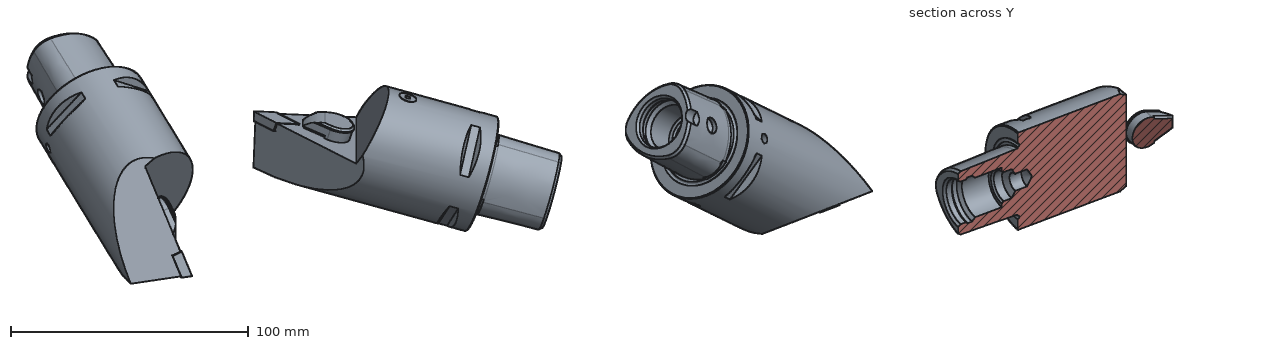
import cadquery as cq
import math

shank_length = 30.0
nose_reach = 100.0
body_radius = 25.0
flange_chamfer = 0.4

lobe_centre_distance = 8.95
lobe_radius = 9.65
neck_length = 2.0
neck_radius = 17.7
shank_taper = 1 / 40
shank_chamfer = 1.3
shank_chamfer_height = 1.0
ring_groove_radius = 18.45
ring_groove_section = 0.85

bore_mouth_radius = 11.7
bore_mouth_chamfer = 1.3
bore_entry_radius = 10.8
bore_radius = 10.0
bore_entry_depth = 4.0
bore_groove_radius = 11.6
bore_groove_depth = 7.0
bore_depth = 22.0
pilot_mouth_radius = 8.2
pilot_radius = 7.3
pilot_depth = 5.0
core_radius = 4.25
core_depth = 6.0
drill_half_angle = math.radians(60)

key_groove_radius = 3.5
key_groove_axis = 17.0
key_groove_length = 5.8
shank_hole_radius = 3.45
shank_hole_x = -14.0
shank_hole_floor = 14.0
flange_hole_radius = 2.1
flange_hole_x = 12.0
flange_hole_floor = 22.0

slot_x = 9.9
slot_floor_width = 3.8
slot_floor_distance = 22.2
slot_flank_angle = math.radians(30)

head_half_angle = math.radians(27.7)
flank_angle = math.radians(7)
head_reach = 99.3
rake_level = -0.4
back_wall_x = 55.0
back_wall_angle = math.radians(14.5)
margin = 10.0

insert_half_angle = math.radians(27.5)
insert_edge = 11.6
insert_thickness = 4.3
insert_nose_radius = 0.4

clamp_radius = 7.5
clamp_back_x = 57.8
clamp_tip_x = 78.9
clamp_side_angle = math.radians(20)
clamp_relief = 1.2
clamp_relief_start_x = 69.0
clamp_height = 6.0
clamp_tip_height = 0.6
clamp_flat_end_x = 70.7
clamp_slope_bulge = 0.9
clamp_lip_height = 4.5
clamp_lip = 0.4
clamp_lip_chamfer = 0.9

plug_x = 40.0
plug_radius = 3.75
plug_length = 8.0
plug_hole_radius = 1.15


def drill(radius, depth, origin, direction):
    """Cylinder with a conical end; depth is measured to the full-diameter end."""
    tip = radius / math.tan(drill_half_angle)
    shaft = cq.Solid.makeCylinder(radius, depth, cq.Vector(*origin), cq.Vector(*direction))
    tip_start = cq.Vector(*origin) + cq.Vector(*direction) * depth
    cone = cq.Solid.makeCone(radius, 0, tip, tip_start, cq.Vector(*direction))
    return cq.Workplane(obj=shaft).union(cq.Workplane(obj=cone))


def lobed_wire(x, radius):
    """Three lobe arcs of this radius joined by tangent flank arcs, one lobe toward +Y."""
    flank_radius = radius + math.sqrt(3) * lobe_centre_distance
    lobe_half_angle = 30

    def point(centre_angle, arc_radius, arc_angle):
        centre = math.radians(centre_angle)
        direction = math.radians(arc_angle)
        y = lobe_centre_distance * math.cos(centre) + arc_radius * math.cos(direction)
        z = lobe_centre_distance * math.sin(centre) + arc_radius * math.sin(direction)
        return (y, z)

    outline = cq.Workplane("YZ", origin=(x, 0, 0)).moveTo(*point(0, radius, -lobe_half_angle))
    for lobe_angle in (0, 120, 240):
        lobe_end = lobe_angle + lobe_half_angle
        flank_middle = lobe_angle + 60
        next_lobe = lobe_angle + 120
        outline = outline.threePointArc(
            point(lobe_angle, radius, lobe_angle),
            point(lobe_angle, radius, lobe_end),
        )
        outline = outline.threePointArc(
            point(lobe_angle - 120, flank_radius, flank_middle),
            point(next_lobe, radius, next_lobe - lobe_half_angle),
        )
    return outline.close().val()


def lobed_section(x_start, radius_start, x_end, radius_end):
    wires = [lobed_wire(x_start, radius_start), lobed_wire(x_end, radius_end)]
    return cq.Workplane(obj=cq.Solid.makeLoft(wires, True))


def make_shank():
    taper_length = shank_length - shank_chamfer - neck_length
    small_radius = lobe_radius - taper_length * shank_taper
    chamfer_x = -shank_length + shank_chamfer
    nose = lobed_section(-shank_length, small_radius - shank_chamfer_height, chamfer_x, small_radius)
    taper = lobed_section(chamfer_x, small_radius, -neck_length, lobe_radius)
    overlap = 1.0
    neck = lobed_section(-neck_length, lobe_radius, overlap, lobe_radius)
    neck_round = cq.Workplane("YZ", origin=(-neck_length, 0, 0)).circle(neck_radius)
    neck = neck.intersect(neck_round.extrude(neck_length + overlap))
    return nose.union(taper).union(neck)


def make_bore():
    """Stepped bore revolved about X, closed by a conical drill end."""
    groove_start = bore_entry_depth + bore_groove_radius - bore_entry_radius
    groove_end = bore_groove_depth + bore_groove_radius - bore_radius
    pilot_chamfer = pilot_mouth_radius - pilot_radius
    pilot_end = bore_depth + pilot_depth
    core_start = pilot_end + (pilot_radius - core_radius) / math.tan(drill_half_angle)
    core_end = core_start + core_depth
    profile = [
        (0, 0),
        (0, bore_mouth_radius),
        (bore_mouth_chamfer, bore_entry_radius),
        (bore_entry_depth, bore_entry_radius),
        (groove_start, bore_groove_radius),
        (bore_groove_depth, bore_groove_radius),
        (groove_end, bore_radius),
        (bore_depth, bore_radius),
        (bore_depth, pilot_mouth_radius),
        (bore_depth + pilot_chamfer, pilot_radius),
        (pilot_end, pilot_radius),
        (core_start, core_radius),
        (core_end, core_radius),
        (core_end + core_radius / math.tan(drill_half_angle), 0),
    ]
    outline = cq.Workplane("XY", origin=(-shank_length, 0, 0)).polyline(profile).close()
    return outline.revolve(360, (0, 0, 0), (1, 0, 0))


def make_ring_groove():
    section = cq.Workplane("XY").moveTo(0, ring_groove_radius - ring_groove_section)
    section = section.threePointArc(
        (ring_groove_section, ring_groove_radius),
        (0, ring_groove_radius + ring_groove_section),
    )
    return section.close().revolve(360, (0, 0, 0), (1, 0, 0))


def make_gripper_slot(angle):
    """Flared slot across the body, its floor facing away from the axis at this angle."""
    depth = body_radius + margin - slot_floor_distance
    half_floor = slot_floor_width / 2
    half_top = half_floor + depth * math.tan(slot_flank_angle)
    section = [
        (slot_x - half_floor, slot_floor_distance),
        (slot_x + half_floor, slot_floor_distance),
        (slot_x + half_top, slot_floor_distance + depth),
        (slot_x - half_top, slot_floor_distance + depth),
    ]
    slot = cq.Workplane("XY").polyline(section).close().extrude(body_radius, both=True)
    return slot.rotate((0, 0, 0), (1, 0, 0), angle)


def wedge_wire(apex_x, y, back_x):
    """Triangle in the plane at y, pointing toward +X and symmetric about Z = 0."""
    half_width = (apex_x - back_x) * math.tan(head_half_angle)
    points = [
        cq.Vector(apex_x, y, 0),
        cq.Vector(back_x, y, half_width),
        cq.Vector(back_x, y, -half_width),
    ]
    return cq.Wire.makePolygon(points, close=True)


def make_point_envelope():
    """Wedge whose flanks lean back by the flank angle toward -Y."""
    half_height = body_radius + margin
    apex_shift = half_height * math.tan(flank_angle) / math.sin(head_half_angle)
    lower = wedge_wire(head_reach - apex_shift, -half_height, -shank_length - apex_shift)
    upper = wedge_wire(head_reach + apex_shift, half_height, -shank_length + apex_shift)
    return cq.Workplane(obj=cq.Solid.makeLoft([lower, upper], True))


def make_rake_cut():
    height = body_radius + margin
    run = height * math.tan(back_wall_angle)
    section = [
        (back_wall_x, rake_level),
        (nose_reach + margin, rake_level),
        (nose_reach + margin, rake_level + height),
        (back_wall_x - run, rake_level + height),
    ]
    return cq.Workplane("XY").polyline(section).close().extrude(height, both=True)


def rhombus_wire(apex_x, y, inset):
    """Insert outline in the plane at y, with every side moved inward by the inset."""
    half_length = insert_edge * math.cos(insert_half_angle)
    half_width = insert_edge * math.sin(insert_half_angle)
    centre_x = apex_x - half_length
    reach = half_length - inset / math.sin(insert_half_angle)
    spread = half_width - inset / math.cos(insert_half_angle)
    points = [
        cq.Vector(centre_x + reach, y, 0),
        cq.Vector(centre_x, y, spread),
        cq.Vector(centre_x - reach, y, 0),
        cq.Vector(centre_x, y, -spread),
    ]
    return cq.Wire.makePolygon(points, close=True)


def make_insert():
    """Rhombic insert with clearance flanks and a rounded cutting nose."""
    apex_x = nose_reach + insert_nose_radius * (1 / math.sin(insert_half_angle) - 1)
    inset = insert_thickness * math.tan(flank_angle)
    wires = [rhombus_wire(apex_x, -insert_thickness, inset), rhombus_wire(apex_x, 0, 0)]
    block = cq.Workplane(obj=cq.Solid.makeLoft(wires, True))
    nose_edge = cq.selectors.NearestToPointSelector((apex_x, -insert_thickness / 2, 0))
    return block.edges(nose_edge).fillet(insert_nose_radius)


def clamp_plan(level, grow):
    """Round clamp back running into a narrow tip; grow widens the outline all round."""
    radius = clamp_radius + grow
    centre_x = clamp_back_x + clamp_radius
    tangent_x = centre_x + radius * math.sin(clamp_side_angle)
    tangent_z = radius * math.cos(clamp_side_angle)
    tip_half_width = tangent_z - (clamp_tip_x - tangent_x) * math.tan(clamp_side_angle)
    plan = cq.Workplane("XZ", origin=(0, level, 0)).moveTo(tangent_x, tangent_z)
    plan = plan.threePointArc((centre_x - radius, 0), (tangent_x, -tangent_z))
    return plan.lineTo(clamp_tip_x, -tip_half_width).lineTo(clamp_tip_x, tip_half_width).close()


def make_clamp():
    stem = clamp_plan(rake_level, 0).extrude(rake_level - clamp_lip_height)
    relieved = stem.faces("<Y").edges().chamfer(clamp_relief)
    front = cq.Workplane("YZ", origin=(clamp_relief_start_x, 0, 0))
    front = front.rect(2 * body_radius, 2 * body_radius).extrude(body_radius)
    stem = stem.cut(front).union(relieved.intersect(front))
    shoulder_height = clamp_height - clamp_lip_chamfer
    lip = clamp_plan(clamp_lip_height, clamp_lip).extrude(clamp_lip_height - shoulder_height)
    crown = clamp_plan(shoulder_height, clamp_lip).extrude(-clamp_lip_chamfer, taper=45)
    middle_x = (clamp_flat_end_x + clamp_tip_x) / 2 + clamp_slope_bulge / 2
    middle_y = (clamp_height + clamp_tip_height) / 2 + clamp_slope_bulge
    back_x = clamp_back_x - clamp_lip
    side = cq.Workplane("XY").moveTo(back_x, rake_level).lineTo(back_x, clamp_height)
    side = side.lineTo(clamp_flat_end_x, clamp_height)
    side = side.threePointArc((middle_x, middle_y), (clamp_tip_x, clamp_tip_height))
    side = side.lineTo(clamp_tip_x, rake_level).close().extrude(body_radius, both=True)
    return stem.union(lip).union(crown).intersect(side)


def plug_cylinder(radius):
    origin = (plug_x, body_radius, 0)
    return cq.Workplane("XZ", origin=origin).circle(radius).extrude(plug_length)


def make_holder(insert):
    body_length = nose_reach + margin
    body = cq.Workplane("YZ").circle(body_radius).extrude(body_length)
    body = body.faces("<X").edges().chamfer(flange_chamfer)
    body = body.intersect(make_point_envelope()).cut(make_rake_cut())
    for angle in (45, 135, 225, 315):
        body = body.cut(make_gripper_slot(angle))
    body = body.cut(make_ring_groove())
    holder = body.union(make_shank()).cut(make_bore())

    key_start = (-shank_length, -key_groove_axis, 0)
    holder = holder.cut(drill(key_groove_radius, key_groove_length, key_start, (1, 0, 0)))
    radial_holes = [
        (shank_hole_radius, shank_hole_x, shank_hole_floor),
        (flange_hole_radius, flange_hole_x, flange_hole_floor),
    ]
    for radius, x, floor in radial_holes:
        start = (x, -body_radius, 0)
        holder = holder.cut(drill(radius, body_radius - floor, start, (0, 1, 0)))
    return holder.cut(plug_cylinder(plug_radius)).cut(insert)


insert = make_insert()
clamp = make_clamp()
plug = plug_cylinder(plug_radius).cut(plug_cylinder(plug_hole_radius))
holder = make_holder(insert)

result = cq.Compound.makeCompound([holder.val(), insert.val(), clamp.val(), plug.val()])